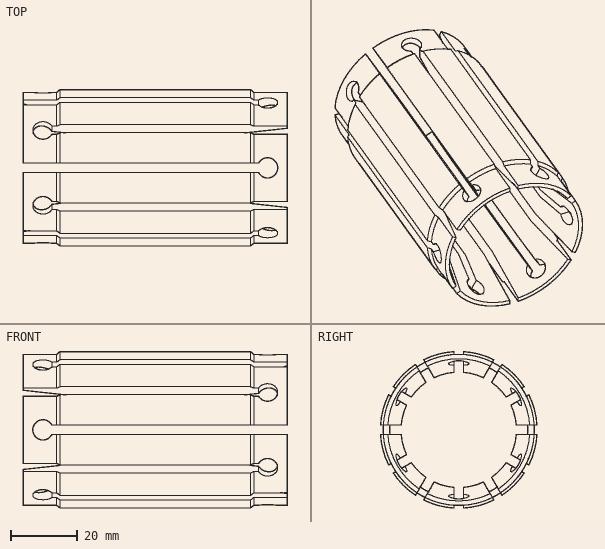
import cadquery as cq

length = 79.5
body_radius = 23.6
end_radius = 22.7
end_land_length = 10.1
body_start = 11.1
mouth_radius = 21.4
bore_radius = 17.3
bore_taper_length = 18.6

slot_count = 12
slot_width = 2.8
hole_radius = 3.0
hole_inset = 6.0
cutter_reach = body_radius + 0.8
slot_overrun = 0.8


def make_sleeve():
    """Revolve the wall section about the X axis."""
    section = [
        (0, mouth_radius),
        (0, end_radius),
        (end_land_length, end_radius),
        (body_start, body_radius),
        (length - body_start, body_radius),
        (length - end_land_length, end_radius),
        (length, end_radius),
        (length, mouth_radius),
        (length - bore_taper_length, bore_radius),
        (bore_taper_length, bore_radius),
    ]
    return cq.Workplane("XY").polyline(section).close().revolve(360, (0, 0, 0), (1, 0, 0))


def make_slot_cutter():
    """Keyhole slot through the -Y wall: relief hole near X = 0, open at the far end."""
    slot_length = length + slot_overrun - hole_inset
    hole = cq.Workplane("XZ").center(hole_inset, 0).circle(hole_radius).extrude(cutter_reach)
    slot = (
        cq.Workplane("XZ")
        .center(hole_inset + slot_length / 2, 0)
        .rect(slot_length, slot_width)
        .extrude(cutter_reach)
    )
    return hole.union(slot)


right_open_cutter = make_slot_cutter()
left_open_cutter = right_open_cutter.rotate((length / 2, 0, 0), (length / 2, 1, 0), 180)

result = make_sleeve()
for index in range(slot_count):
    cutter = right_open_cutter if index % 2 == 0 else left_open_cutter
    angle = index * 360 / slot_count
    result = result.cut(cutter.rotate((0, 0, 0), (1, 0, 0), angle))